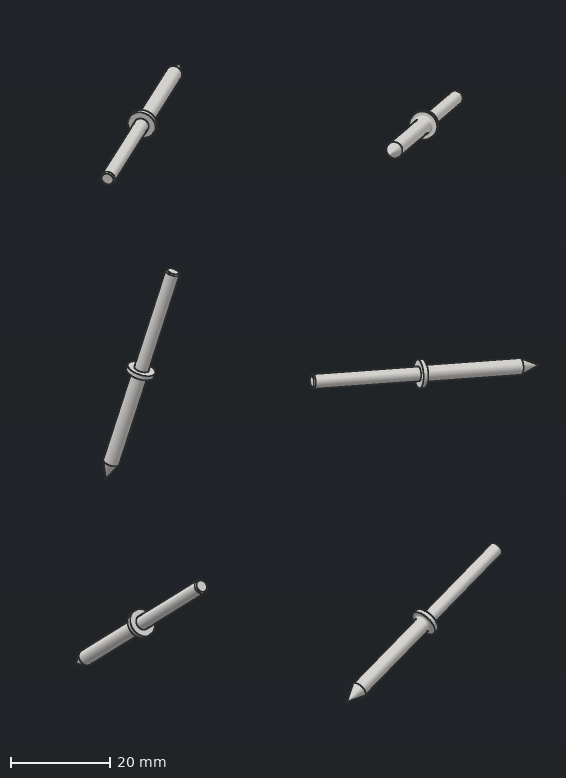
import cadquery as cq

total_length = 49.0
shank_length = 23.0
collar_thickness = 1.05
tip_length = 4.0

shank_radius = 1.5
body_radius = 1.7
collar_radius = 2.95

shank_chamfer = 0.3
root_fillet = 0.5

shank_end = -total_length / 2
collar_front = shank_end + shank_length
collar_back = collar_front + collar_thickness
tip_end = total_length / 2
tip_base = tip_end - tip_length

profile = (
    cq.Workplane("XY")
    .moveTo(0, shank_end)
    .lineTo(shank_radius - shank_chamfer, shank_end)
    .lineTo(shank_radius, shank_end + shank_chamfer)
    .lineTo(shank_radius, collar_front)
    .lineTo(collar_radius, collar_front)
    .lineTo(collar_radius, collar_back)
    .lineTo(body_radius + root_fillet, collar_back)
    .radiusArc((body_radius, collar_back + root_fillet), root_fillet)
    .lineTo(body_radius, tip_base)
    .lineTo(0, tip_end)
    .close()
)

result = profile.revolve(360, (0, 0, 0), (0, 1, 0))